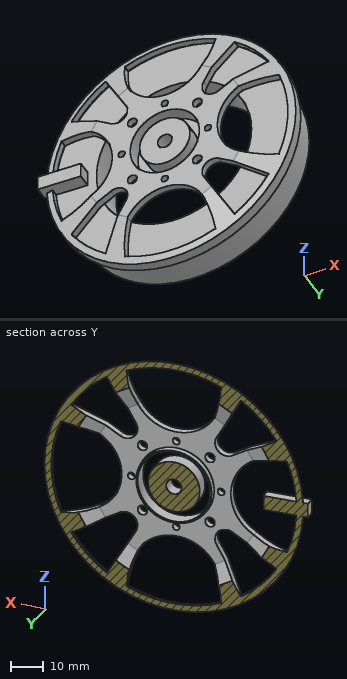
import cadquery as cq
import math

flange_radius = 43.4
flange_edge_depth = 3.5
front_depth = 8.05
front_flat_radius = 28.75
web_thickness = 2.6

drum_radius = 40.3
drum_length = 12.4
drum_bore_radius = 27.0
drum_front_depth = 1.6

window_outer_radius = 41.0
big_window_inner_z = 18.3
big_window_end_radius = 14.8
big_window_end_angle = 61.5
big_window_side_middle = (14.815, 31.4)
big_window_corner = (15.8, 37.8)
small_window_end_radius = 3.9
small_window_end_offset = 23.9
small_window_side_angle = 15

hub_radius = 12.7
hub_length = 6.5
groove_outer_radius = 12.0
groove_inner_radius = 8.8
groove_depth = 5.5
axle_hole_radius = 2.5

small_hole_radius = 1.15
small_hole_circle = 15.0
large_hole_radius = 1.6
large_hole_circle = 16.0

peg_size = 5.0
peg_length = 15.0
peg_outer_x = 45.0

QUARTER_TURNS = [0, 90, 180, 270]
HALF_PITCH = 45


def cylinder(radius, rear_depth, length, z=0):
    """Cylinder along the wheel axis, running forward from rear_depth."""
    return cq.Workplane("XZ", origin=(0, -rear_depth, z)).circle(radius).extrude(length)


def turn(body, angle):
    return body.rotate((0, 0, 0), (0, 1, 0), angle)


def spun_web():
    """Flange with a conical front that levels into a flat central plate."""
    slope = (front_depth - flange_edge_depth) / (flange_radius - front_flat_radius)
    web_rear_depth = front_depth - web_thickness
    inner_radius = front_flat_radius + (web_rear_depth - drum_front_depth) / slope
    profile = [
        (0, -web_rear_depth),
        (0, -front_depth),
        (front_flat_radius, -front_depth),
        (flange_radius, -flange_edge_depth),
        (flange_radius, 0),
        (drum_bore_radius, 0),
        (drum_bore_radius, -drum_front_depth),
        (inner_radius, -drum_front_depth),
        (front_flat_radius, -web_rear_depth),
    ]
    return cq.Workplane("XY").polyline(profile).close().revolve(360, (0, 0, 0), (0, 1, 0))


def mirrored(point):
    return (-point[0], point[1])


def big_window(window_disc):
    """Opening with a round inner end and shallow curved sides reaching out to the rim."""
    end_angle = math.radians(big_window_end_angle)
    end_centre_z = big_window_inner_z + big_window_end_radius
    side_start = (
        big_window_end_radius * math.sin(end_angle),
        end_centre_z - big_window_end_radius * math.cos(end_angle),
    )
    beyond_rim = (big_window_corner[0], flange_radius)
    opening = (
        cq.Workplane("XZ", origin=(0, -drum_front_depth, 0))
        .moveTo(*mirrored(beyond_rim))
        .lineTo(*mirrored(big_window_corner))
        .threePointArc(mirrored(big_window_side_middle), mirrored(side_start))
        .threePointArc((0, big_window_inner_z), side_start)
        .threePointArc(big_window_side_middle, big_window_corner)
        .lineTo(*beyond_rim)
        .close()
        .extrude(front_depth)
    )
    return opening.intersect(window_disc)


def small_window(window_disc):
    """Slot with a round inner end and straight sides spreading towards the rim."""
    half_angle = math.radians(small_window_side_angle)
    tangent_x = small_window_end_radius * math.cos(half_angle)
    tangent_z = small_window_end_offset - small_window_end_radius * math.sin(half_angle)
    top_x = tangent_x + (flange_radius - tangent_z) * math.tan(half_angle)
    slot = (
        cq.Workplane("XZ", origin=(0, -drum_front_depth, 0))
        .moveTo(-top_x, flange_radius)
        .lineTo(-tangent_x, tangent_z)
        .threePointArc((0, small_window_end_offset - small_window_end_radius), (tangent_x, tangent_z))
        .lineTo(top_x, flange_radius)
        .close()
        .extrude(front_depth)
    )
    return turn(slot.intersect(window_disc), HALF_PITCH)


def drum():
    body = cylinder(drum_radius, -drum_length, drum_length + drum_front_depth)
    return body.cut(cylinder(drum_bore_radius, -drum_length, drum_length + drum_front_depth))


def hub_groove():
    rear = front_depth - groove_depth
    ring = cylinder(groove_outer_radius, rear, groove_depth)
    return ring.cut(cylinder(groove_inner_radius, rear, groove_depth))


def peg():
    """Square bar lying on the drum face and reaching out past the flange."""
    centre = (peg_length / 2 - peg_outer_x, -drum_front_depth - peg_size / 2, 0)
    return cq.Workplane("XY").box(peg_length, peg_size, peg_size).translate(centre)


wheel = spun_web()

window_disc = cylinder(window_outer_radius, drum_front_depth, front_depth)
for angle in QUARTER_TURNS:
    wheel = wheel.cut(turn(big_window(window_disc), angle))
    wheel = wheel.cut(turn(small_window(window_disc), angle))

wheel = wheel.union(drum())
wheel = wheel.union(cylinder(hub_radius, front_depth - hub_length, hub_length))
wheel = wheel.cut(hub_groove())
wheel = wheel.cut(cylinder(axle_hole_radius, 0, front_depth))

small_hole = cylinder(small_hole_radius, 0, front_depth, z=small_hole_circle)
large_hole = turn(cylinder(large_hole_radius, 0, front_depth, z=large_hole_circle), HALF_PITCH)
for angle in QUARTER_TURNS:
    wheel = wheel.cut(turn(small_hole, angle))
    wheel = wheel.cut(turn(large_hole, angle))

result = wheel.union(peg())